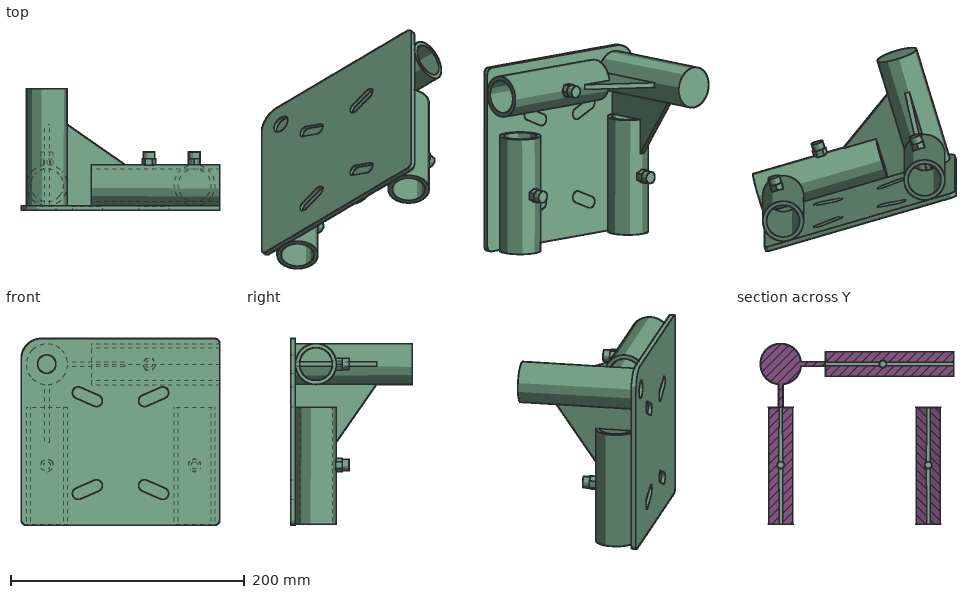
import cadquery as cq
import math

PLATE_WIDTH = 170.0
PLATE_HEIGHT = 160.0
PLATE_THICKNESS = 4.0
SMALL_CORNER_RADIUS = 5.0
LARGE_CORNER_RADIUS = 17.5

RECESS_DEPTH = 3.4
ROUND_RECESS_DIAMETER = 15.6
SLOT_WIDTH = 10.0
SLOT_TRAVEL = 17.0
SLOT_ANGLE = 23.6
SLOT_SPACING_X = 56.6
SLOT_SPACING_Z = 79.4
SLOT_PATTERN_X = PLATE_WIDTH / 2
SLOT_PATTERN_Z = 70.4

TUBE_DIAMETER = 35.0
BORE_DIAMETER = 28.0
EDGE_TO_AXIS = 22.0
POST_LENGTH = 100.0
CROSS_TUBE_START = 60.0
UPRIGHT_LENGTH = 100.0
UPRIGHT_BOTTOM = 1.0

LEFT_AXIS_X = EDGE_TO_AXIS
RIGHT_AXIS_X = PLATE_WIDTH - EDGE_TO_AXIS
TOP_AXIS_Z = PLATE_HEIGHT - EDGE_TO_AXIS
TUBE_AXIS_Y = PLATE_THICKNESS + TUBE_DIAMETER / 2
TUBE_BACK_Y = PLATE_THICKNESS + TUBE_DIAMETER
CROSS_TUBE_LENGTH = PLATE_WIDTH - CROSS_TUBE_START
UPRIGHT_TOP = UPRIGHT_BOTTOM + UPRIGHT_LENGTH

GUSSET_THICKNESS = 4.0
GUSSET_POST_Y = 73.5
GUSSET_REACH = 49.3

SCREW_DIAMETER = 6.0
HEAD_DIAMETER = 10.0
HEAD_HEIGHT = 6.0
NUT_ACROSS_FLATS = 10.2
NUT_HEIGHT = 5.0
SCREW_FROM_TUBE_END = 49.3
NUT_CORNER_ALONG_X = 0
NUT_CORNER_ALONG_Z = 90

NUT_ACROSS_CORNERS = NUT_ACROSS_FLATS / math.cos(math.radians(30))
NUT_TOP_Y = TUBE_BACK_Y + NUT_HEIGHT
CROSS_SCREW_X = CROSS_TUBE_START + SCREW_FROM_TUBE_END
UPRIGHT_SCREW_Z = UPRIGHT_TOP - SCREW_FROM_TUBE_END
CROSS_SCREW_SPOT = (CROSS_SCREW_X, TOP_AXIS_Z)
LEFT_SCREW_SPOT = (LEFT_AXIS_X, UPRIGHT_SCREW_Z)
RIGHT_SCREW_SPOT = (RIGHT_AXIS_X, UPRIGHT_SCREW_Z)


def facing_back(y):
    """Sketch plane at depth y with local axes X and -Z, extruding toward +Y."""
    return cq.Workplane(cq.Plane(origin=(0, y, 0), xDir=(1, 0, 0), normal=(0, 1, 0)))


def rod_along_y(diameter, x, z, start_y, end_y):
    return facing_back(start_y).center(x, -z).circle(diameter / 2).extrude(end_y - start_y)


def cross_cylinder(diameter):
    """Cylinder along X on the axis of the cross tube."""
    sketch = cq.Workplane("YZ", origin=(CROSS_TUBE_START, TUBE_AXIS_Y, TOP_AXIS_Z))
    return sketch.circle(diameter / 2).extrude(CROSS_TUBE_LENGTH)


def upright_cylinder(diameter, x):
    """Cylinder along Z on the axis of an upright tube."""
    sketch = cq.Workplane("XY", origin=(x, TUBE_AXIS_Y, UPRIGHT_BOTTOM))
    return sketch.circle(diameter / 2).extrude(UPRIGHT_LENGTH)


def make_plate():
    plate = cq.Workplane("XY").box(PLATE_WIDTH, PLATE_THICKNESS, PLATE_HEIGHT, centered=False)
    plate = plate.edges("|Y and <X and >Z").fillet(LARGE_CORNER_RADIUS)
    plate = plate.edges("|Y and (<Z or >X)").fillet(SMALL_CORNER_RADIUS)
    plate = plate.cut(rod_along_y(ROUND_RECESS_DIAMETER, LEFT_AXIS_X, TOP_AXIS_Z, 0, RECESS_DEPTH))
    for side_x in (-1, 1):
        for side_z in (-1, 1):
            x = SLOT_PATTERN_X + side_x * SLOT_SPACING_X / 2
            z = SLOT_PATTERN_Z + side_z * SLOT_SPACING_Z / 2
            angle = -side_x * side_z * SLOT_ANGLE
            slot = facing_back(0).center(x, -z).slot2D(SLOT_TRAVEL + SLOT_WIDTH, SLOT_WIDTH, angle)
            plate = plate.cut(slot.extrude(RECESS_DEPTH))
    return plate


def make_gusset(run_direction, normal, tube_start):
    """Gusset in the plane of the post axis; it runs from that axis to a tube starting at tube_start."""
    outline = [
        (0, PLATE_THICKNESS),
        (tube_start, PLATE_THICKNESS),
        (tube_start, TUBE_AXIS_Y),
        (TUBE_DIAMETER / 2 + GUSSET_REACH, TUBE_BACK_Y),
        (TUBE_DIAMETER / 2, GUSSET_POST_Y),
        (0, GUSSET_POST_Y),
    ]
    plane = cq.Plane(origin=(LEFT_AXIS_X, 0, TOP_AXIS_Z), xDir=run_direction, normal=normal)
    return cq.Workplane(plane).polyline(outline).close().extrude(GUSSET_THICKNESS / 2, both=True)


def make_nut(spot, corner_angle):
    """Hexagonal nut seated in the tube wall; corner_angle turns a corner away from +X."""
    x, z = spot
    hexagon = facing_back(TUBE_AXIS_Y).center(x, -z).transformed(rotate=(0, 0, corner_angle))
    return hexagon.polygon(6, NUT_ACROSS_CORNERS).extrude(NUT_TOP_Y - TUBE_AXIS_Y)


def screw_hole(spot):
    return rod_along_y(SCREW_DIAMETER, *spot, TUBE_AXIS_Y, NUT_TOP_Y)


def make_upright(x, spot):
    upright = upright_cylinder(TUBE_DIAMETER, x).union(make_nut(spot, NUT_CORNER_ALONG_Z))
    return upright.cut(upright_cylinder(BORE_DIAMETER, x)).cut(screw_hole(spot))


def make_frame():
    """Plate, post, cross tube, left upright, both gussets and two nuts as one weldment."""
    post_end_y = PLATE_THICKNESS + POST_LENGTH
    post = rod_along_y(TUBE_DIAMETER, LEFT_AXIS_X, TOP_AXIS_Z, PLATE_THICKNESS, post_end_y)
    cross_gusset = make_gusset((1, 0, 0), (0, 0, 1), CROSS_TUBE_START - LEFT_AXIS_X)
    upright_gusset = make_gusset((0, 0, -1), (1, 0, 0), TOP_AXIS_Z - UPRIGHT_TOP)
    frame = make_plate().union(post).union(cross_gusset).union(upright_gusset)
    frame = frame.union(cross_cylinder(TUBE_DIAMETER)).union(upright_cylinder(TUBE_DIAMETER, LEFT_AXIS_X))
    frame = frame.union(make_nut(CROSS_SCREW_SPOT, NUT_CORNER_ALONG_X))
    frame = frame.union(make_nut(LEFT_SCREW_SPOT, NUT_CORNER_ALONG_Z))
    frame = frame.cut(cross_cylinder(BORE_DIAMETER)).cut(upright_cylinder(BORE_DIAMETER, LEFT_AXIS_X))
    return frame.cut(screw_hole(CROSS_SCREW_SPOT)).cut(screw_hole(LEFT_SCREW_SPOT))


def make_screw(spot):
    """Cap screw whose shank ends flush with the crown of the tube bore."""
    shank = rod_along_y(SCREW_DIAMETER, *spot, TUBE_AXIS_Y + BORE_DIAMETER / 2, NUT_TOP_Y)
    head = rod_along_y(HEAD_DIAMETER, *spot, NUT_TOP_Y, NUT_TOP_Y + HEAD_HEIGHT)
    return shank.union(head)


frame = make_frame()
right_upright = make_upright(RIGHT_AXIS_X, RIGHT_SCREW_SPOT)
screws = [make_screw(spot).val() for spot in (CROSS_SCREW_SPOT, LEFT_SCREW_SPOT, RIGHT_SCREW_SPOT)]

result = cq.Compound.makeCompound([frame.val(), right_upright.val(), *screws])